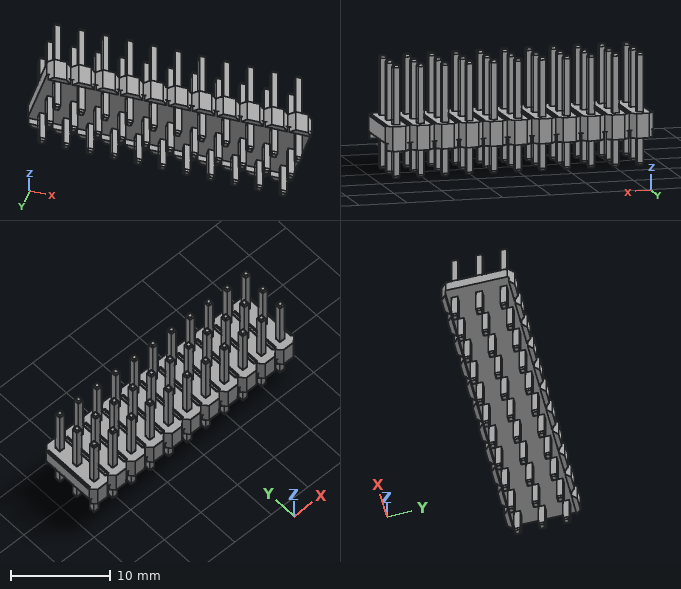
import cadquery as cq
import math

columns = 11
rows = 3
length = 27.95
pitch = length / columns
width = rows * pitch

body_height = 2.55
corner_chamfer = 0.61
channel_depth = 0.75
channel_edge_margin = 0.5

groove_top_width = 0.47
groove_floor_width = 0.25
groove_depth = 0.1
groove_end_margin = 0.75

pin_size = 0.65
tip_size = 0.45
tip_height = 0.25
pin_above_body = 6.1
pin_length = 11.6
pin_bottom = body_height + pin_above_body - pin_length

column_positions = [(i - (columns - 1) / 2) * pitch for i in range(columns)]
row_positions = [(j - (rows - 1) / 2) * pitch for j in range(rows)]
boundary_positions = [(i - columns / 2) * pitch for i in range(columns + 1)]


def make_cell(x):
    """One column of the body: a block with its four upright corners chamfered."""
    block = cq.Workplane("XY").box(pitch, width, body_height, centered=(True, True, False))
    return block.edges("|Z").chamfer(corner_chamfer).translate((x, 0, 0))


def make_channel():
    """Channel along the whole underside, leaving feet along the two long edges."""
    channel_width = width - 2 * channel_edge_margin
    return cq.Workplane("XY").box(length, channel_width, channel_depth, centered=(True, True, False))


def make_groove(x):
    """Trapezoidal groove across the top face."""
    groove_length = width - 2 * groove_end_margin
    floor_z = body_height - groove_depth
    return (
        cq.Workplane("XZ")
        .moveTo(x - groove_top_width / 2, body_height)
        .lineTo(x - groove_floor_width / 2, floor_z)
        .lineTo(x + groove_floor_width / 2, floor_z)
        .lineTo(x + groove_top_width / 2, body_height)
        .close()
        .extrude(groove_length / 2, both=True)
    )


def make_pin():
    """Square pin on the Z axis, tapered at both ends."""
    tip_inset = (pin_size - tip_size) / 2
    tip_taper = math.degrees(math.atan(tip_inset / tip_height))
    shaft_length = pin_length - 2 * tip_height
    half_pin = (
        cq.Workplane("XY")
        .rect(pin_size, pin_size)
        .extrude(shaft_length / 2)
        .faces(">Z")
        .workplane()
        .rect(pin_size, pin_size)
        .extrude(tip_height, taper=tip_taper)
    )
    pin = half_pin.union(half_pin.mirror("XY")).clean()
    return pin.translate((0, 0, pin_bottom + pin_length / 2))


result = make_cell(column_positions[0])
for x in column_positions[1:]:
    result = result.union(make_cell(x))

result = result.cut(make_channel())
for x in boundary_positions:
    result = result.cut(make_groove(x))

pin = make_pin()
for x in column_positions:
    for y in row_positions:
        result = result.union(pin.translate((x, y, 0)))